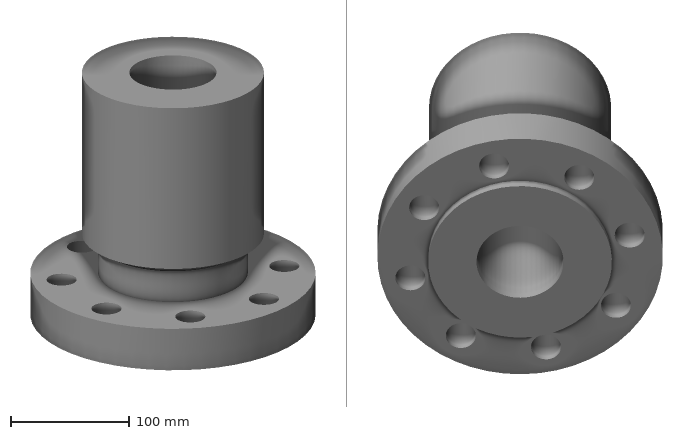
import cadquery as cq

flange_diameter = 241.3
flange_thickness = 38.1
face_diameter = 155.2
face_height = 8.0

neck_diameter = 127.0
body_diameter = 154.0
body_length = 147.7
cone_height = 7.8
relief_height = 1.0
relief_depth = 0.5
total_height = 230.2
bore_diameter = 73.66

bolt_count = 8
bolt_circle_diameter = 190.5
bolt_hole_diameter = 25.4

flange_bottom = face_height
flange_top = flange_bottom + flange_thickness
relief_top = flange_top + relief_height
body_bottom = total_height - body_length
neck_top = body_bottom - cone_height


def make_turned_body():
    """Half section of the flange, neck and body, revolved about Z."""
    bore_radius = bore_diameter / 2
    face_radius = face_diameter / 2
    flange_radius = flange_diameter / 2
    neck_radius = neck_diameter / 2
    relief_radius = neck_radius - relief_depth
    body_radius = body_diameter / 2
    half_section = (
        cq.Workplane("XZ")
        .moveTo(bore_radius, 0)
        .lineTo(face_radius, 0)
        .lineTo(face_radius, flange_bottom)
        .lineTo(flange_radius, flange_bottom)
        .lineTo(flange_radius, flange_top)
        .lineTo(relief_radius, flange_top)
        .lineTo(relief_radius, relief_top)
        .lineTo(neck_radius, relief_top)
        .lineTo(neck_radius, neck_top)
        .lineTo(body_radius, body_bottom)
        .lineTo(body_radius, total_height)
        .lineTo(bore_radius, total_height)
        .close()
    )
    return half_section.revolve(360, (0, 0, 0), (0, 1, 0))


def make_bolt_holes():
    """Cylinders on the bolt circle that pass through the flange."""
    return (
        cq.Workplane("XY")
        .workplane(offset=flange_bottom)
        .polarArray(bolt_circle_diameter / 2, 0, 360, bolt_count)
        .circle(bolt_hole_diameter / 2)
        .extrude(flange_thickness)
    )


result = make_turned_body().cut(make_bolt_holes())